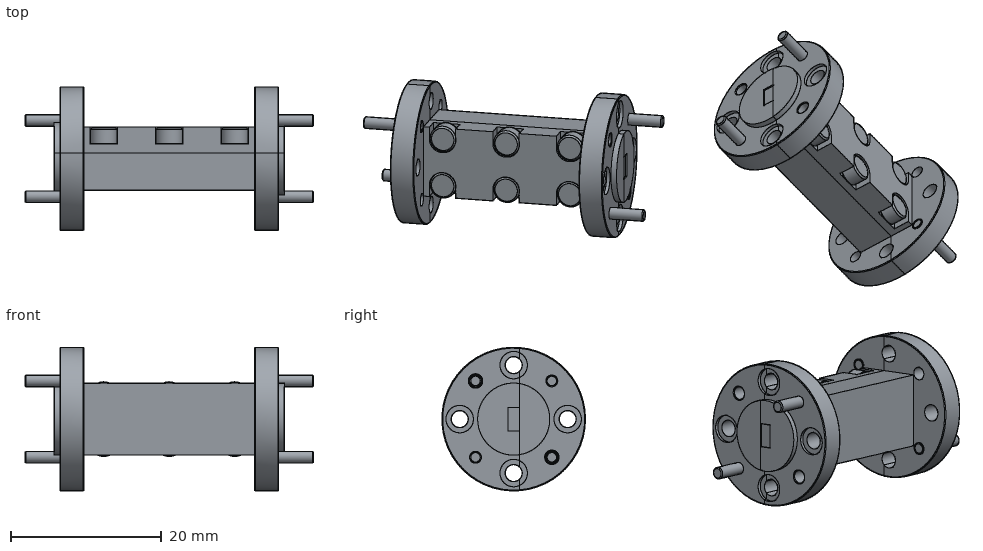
import cadquery as cq
import math


overall_length = 38.23
boss_face_x = 15.25
flange_face_x = 14.5
flange_thickness = 3.2
flange_back_x = flange_face_x - flange_thickness

flange_diameter = 19.05
flange_edge_chamfer = 0.1
boss_diameter = 9.55
bolt_circle_radius = 7.15
bolt_hole_diameter = 2.2
counterbore_diameter = 3.65
counterbore_depth = 0.45

pin_diameter = 1.55
pin_chamfer = 0.15
pin_hole_diameter = 1.7
pin_hole_chamfer = 0.1

block_width = 8.4
block_height = boss_diameter

guide_width = 3.1
guide_height = 1.55
guide_depth = 0.2
split_y = guide_height / 2

screw_spacing = 8.68
screw_head_diameter = 3.5
screw_top_chamfer = 0.23
screw_bottom_chamfer = 0.1
screw_top_y = 4.1
screw_rise = 0.172
slot_width = 3.6
slot_floor_y = 1.9
screw_z = block_height / 2 + screw_rise - screw_head_diameter / 2

ends = (-1, 1)
faces = (-1, 1)


def x_cylinder(diameter, x_from, x_to, y=0.0, z=0.0):
    """Cylinder along X between two stations."""
    base = cq.Workplane("YZ", origin=(x_from, y, z))
    return base.circle(diameter / 2).extrude(x_to - x_from)


def bolt_circle_point(angle):
    """Y and Z of a point on the bolt circle, for an angle in degrees."""
    turn = math.radians(angle)
    return bolt_circle_radius * math.cos(turn), bolt_circle_radius * math.sin(turn)


def pin_angles(end):
    """Angles of the two opposite pins in the flange at this end."""
    first = 45 if end > 0 else 135
    return first, first + 180


def pin_hole_angles(end):
    """Angles of the two open pin holes, which lie between the pins."""
    return [angle + 90 for angle in pin_angles(end)]


def flange(end):
    """Flange disc with its raised boss, before drilling."""
    disc = x_cylinder(flange_diameter, end * flange_back_x, end * flange_face_x)
    disc = disc.edges().chamfer(flange_edge_chamfer)
    boss = x_cylinder(boss_diameter, end * flange_back_x, end * boss_face_x)
    return disc.union(boss)


def bolt_hole_cutter(end, angle):
    """Through hole with a shallow counterbore in the outer face."""
    y, z = bolt_circle_point(angle)
    hole = x_cylinder(bolt_hole_diameter, end * flange_back_x, end * flange_face_x, y, z)
    counterbore_floor_x = flange_face_x - counterbore_depth
    counterbore = x_cylinder(counterbore_diameter, end * counterbore_floor_x, end * flange_face_x, y, z)
    return hole.union(counterbore)


def pin_hole_cutter(end, angle):
    """Through hole with a countersunk rim in the outer face."""
    y, z = bolt_circle_point(angle)
    hole = x_cylinder(pin_hole_diameter, end * flange_back_x, end * flange_face_x, y, z)
    rim_face = cq.Vector(end * flange_face_x, y, z)
    inward = cq.Vector(-end, 0, 0)
    hole_radius = pin_hole_diameter / 2
    rim = cq.Solid.makeCone(hole_radius + pin_hole_chamfer, hole_radius, pin_hole_chamfer, rim_face, inward)
    return hole.union(cq.Workplane(rim))


def alignment_pin(end, angle):
    """Pin with both ends chamfered, its inner end flush with the back of its flange."""
    y, z = bolt_circle_point(angle)
    pin = x_cylinder(pin_diameter, end * flange_back_x, end * overall_length / 2, y, z)
    return pin.edges("%CIRCLE").chamfer(pin_chamfer)


def pin_seat_cutter(end, angle):
    """Through hole that grips a pin."""
    y, z = bolt_circle_point(angle)
    return x_cylinder(pin_diameter, end * flange_back_x, end * flange_face_x, y, z)


def guide_cutter(end):
    """Shallow rectangular waveguide mouth in the boss face."""
    mouth = cq.Workplane("XY").box(2 * guide_depth, guide_height, guide_width)
    return mouth.translate((end * boss_face_x, 0, 0))


def whole_body():
    """Both halves as one shape, before the split and the screws."""
    body = cq.Workplane("XY").box(2 * flange_back_x, block_width, block_height)
    for end in ends:
        body = body.union(flange(end)).cut(guide_cutter(end))
        for angle in range(0, 360, 90):
            body = body.cut(bolt_hole_cutter(end, angle))
        for angle in pin_angles(end):
            body = body.cut(pin_seat_cutter(end, angle))
        for angle in pin_hole_angles(end):
            body = body.cut(pin_hole_cutter(end, angle))
    return body


def half_space(side):
    """Box that covers everything on one side of the split plane."""
    box = cq.Workplane("XY").box(2 * overall_length, overall_length, overall_length)
    return box.translate((0, split_y + side * overall_length / 2, 0))


def screw_slot_cutter(x, face):
    """Round-bottomed slot open to the outer face and to the top or bottom face."""
    length = block_width / 2 - slot_floor_y
    base = cq.Workplane("XZ", origin=(x, slot_floor_y, face * screw_z))
    bottom = base.circle(slot_width / 2).extrude(-length)
    mouth = base.center(0, face * slot_width / 2).rect(slot_width, slot_width).extrude(-length)
    return bottom.union(mouth)


def screw_head(x, face):
    """Screw head that rises slightly above the block."""
    base = cq.Workplane("XZ", origin=(x, slot_floor_y, face * screw_z))
    head = base.circle(screw_head_diameter / 2).extrude(slot_floor_y - screw_top_y)
    return head.faces(">Y").chamfer(screw_top_chamfer).faces("<Y").chamfer(screw_bottom_chamfer)


def front_half(body):
    """Half block that holds the waveguide mouths."""
    return body.intersect(half_space(-1))


def back_half(body):
    """Half block that carries the six screw heads."""
    half = body.intersect(half_space(1))
    for x in (-screw_spacing, 0, screw_spacing):
        for face in faces:
            half = half.cut(screw_slot_cutter(x, face)).union(screw_head(x, face))
    return half


body = whole_body()
front_block = front_half(body)
back_block = back_half(body)
pins = [alignment_pin(end, angle) for end in ends for angle in pin_angles(end)]

result = cq.Compound.makeCompound([front_block.val(), back_block.val(), *[pin.val() for pin in pins]])